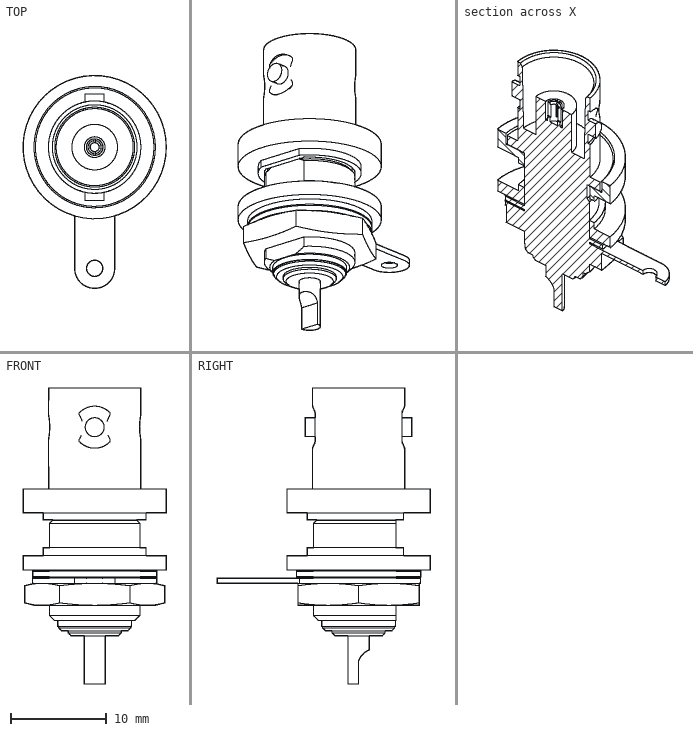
import cadquery as cq
import math


JACK_TOP = 31.0
BARREL_RADIUS = 4.85
BORE_MOUTH_RADIUS = 4.43
BORE_RADIUS = 4.2
BORE_FLOOR_RADIUS = 4.03
BORE_CHAMFER_DEPTH = 0.4
BORE_DEPTH = 8.68

STUD_Z = 26.88
STUD_RADIUS = 1.0
STUD_REACH = 5.58
SPOT_FACE_RADIUS = 2.2
SPOT_FACE_Y = 4.55
GROOVE_HALF_WIDTH = 1.3
GROOVE_RADIUS = 4.7

STUB_RADIUS = 2.4
STUB_TOP = 27.5
SOCKET_CLEARANCE_RADIUS = 1.1
SOCKET_RADIUS = 0.87
SOCKET_BORE_RADIUS = 0.45
SOCKET_CHAMFER = 0.22
SOCKET_DEPTH = 2.48
SOCKET_SLOT_WIDTH = 0.2
SOCKET_SLOT_DEPTH = 1.85

FLANGE_RADIUS = 6.2
FLANGE_TOP = 20.2
SHANK_RADIUS = 4.75
SHANK_FLAT_Y = 3.95
NECK_RADIUS = 4.43
SHANK_TOP = 16.8
SHANK_CHAMFER_TOP = SHANK_TOP + SHANK_RADIUS - NECK_RADIUS
SHANK_CHAMFER_BOTTOM = 7.2
SHANK_BOTTOM = 6.63
SHANK_END_RADIUS = 4.2
COLLAR_RADIUS = 3.88
COLLAR_BOTTOM = 5.58
COLLAR_STEP = 6.05
COLLAR_END_RADIUS = 3.78
COLLAR_CHAMFER = 0.3
TIP_RADIUS = 2.8
TIP_BOTTOM = 5.05
TIP_CHAMFER = 0.3

TAIL_RADIUS = 1.12
TAIL_HALF_TOP = 2.4
TAIL_RUN_OUT_HEIGHT = 1.18
TAIL_RUN_OUT_SAG = 0.2

NUT_BOTTOM = 8.25
NUT_TOP = 10.55
NUT_ACROSS_FLATS = 12.7
NUT_CORNER_RADIUS = NUT_ACROSS_FLATS / 2 / math.cos(math.pi / 6)
NUT_CHAMFER_HEIGHT = 0.25
WASHER_RADIUS = 6.5
LUG_THICKNESS = 0.55
LUG_WIDTH = 4.22
LUG_EYE_Y = -12.68
LUG_EYE_DIAMETER = 1.67
LOCK_WASHER_BOTTOM = 11.22
LOCK_WASHER_TOP = 11.8

BUSHING_RADIUS = 7.5
SHOULDER_RADIUS = 5.4
SHOULDER_FLAT_Y = 4.7
UPPER_RIM_TOP = 20.43
UPPER_RIM_BOTTOM = 17.92
UPPER_SHOULDER_BOTTOM = 17.17
CUP_RADIUS = 6.35
CUP_FLOOR = 18.9
LOWER_RIM_BOTTOM = 11.95
LOWER_RIM_TOP = 13.45
LOWER_SHOULDER_TOP = 14.3


def cylinder(radius, bottom, top):
    """Cylinder about the Z axis between two heights."""
    return cq.Workplane("XY").workplane(offset=bottom).circle(radius).extrude(top - bottom)


def revolved(points):
    """Solid of revolution about Z from an outline of (radius, height) points."""
    return cq.Workplane("XZ").polyline(points).close().revolve(360, (0, 0, 0), (0, 1, 0))


def flatted(solid, flat_y):
    """Cut away everything beyond a flat at Y = flat_y."""
    span = 2 * BUSHING_RADIUS
    cutter = cq.Workplane("XY").box(span, span, 2 * JACK_TOP).translate((0, flat_y + span / 2, 0))
    return solid.cut(cutter)


def make_barrel():
    """Grooved barrel with a chamfered, slightly tapered blind bore."""
    outer = (
        cq.Workplane("XZ")
        .moveTo(0, CUP_FLOOR)
        .lineTo(BARREL_RADIUS, CUP_FLOOR)
        .lineTo(BARREL_RADIUS, STUD_Z - GROOVE_HALF_WIDTH)
        .threePointArc((GROOVE_RADIUS, STUD_Z), (BARREL_RADIUS, STUD_Z + GROOVE_HALF_WIDTH))
        .lineTo(BARREL_RADIUS, JACK_TOP)
        .lineTo(0, JACK_TOP)
        .close()
        .revolve(360, (0, 0, 0), (0, 1, 0))
    )
    bore = revolved([
        (0, JACK_TOP),
        (BORE_MOUTH_RADIUS, JACK_TOP),
        (BORE_RADIUS, JACK_TOP - BORE_CHAMFER_DEPTH),
        (BORE_FLOOR_RADIUS, JACK_TOP - BORE_DEPTH),
        (0, JACK_TOP - BORE_DEPTH),
    ])
    return outer.cut(bore)


def add_bayonet_stud(barrel, side):
    """Spot face and round stud on the +Y (side = 1) or -Y (side = -1) face of the barrel."""
    face = cq.Workplane("XZ", origin=(0, side * SPOT_FACE_Y, STUD_Z))
    spot_face = face.circle(SPOT_FACE_RADIUS).extrude(-side * BARREL_RADIUS)
    stud_root = cq.Workplane("XZ", origin=(0, side * BORE_MOUTH_RADIUS, STUD_Z))
    stud = stud_root.circle(STUD_RADIUS).extrude(-side * (STUD_REACH - BORE_MOUTH_RADIUS))
    return barrel.cut(spot_face).union(stud)


def make_socket_stub():
    """Dielectric stub with a slotted socket contact standing in a clearance hole."""
    stub = cylinder(STUB_RADIUS, JACK_TOP - BORE_DEPTH, STUB_TOP)
    clearance = cylinder(SOCKET_CLEARANCE_RADIUS, STUB_TOP - SOCKET_DEPTH, STUB_TOP)
    socket = cylinder(SOCKET_RADIUS, STUB_TOP - SOCKET_DEPTH, STUB_TOP)
    socket_bore = revolved([
        (0, STUB_TOP),
        (SOCKET_BORE_RADIUS + SOCKET_CHAMFER, STUB_TOP),
        (SOCKET_BORE_RADIUS, STUB_TOP - SOCKET_CHAMFER),
        (SOCKET_BORE_RADIUS, STUB_TOP - SOCKET_DEPTH),
        (0, STUB_TOP - SOCKET_DEPTH),
    ])
    socket = socket.cut(socket_bore)
    for angle in (0, 90):
        slot = cq.Workplane("XY").box(2 * SOCKET_RADIUS, SOCKET_SLOT_WIDTH, SOCKET_SLOT_DEPTH)
        slot = slot.rotate((0, 0, 0), (0, 0, 1), angle)
        socket = socket.cut(slot.translate((0, 0, STUB_TOP - SOCKET_SLOT_DEPTH / 2)))
    return stub.cut(clearance).union(socket)


def make_shank():
    """Neck and threaded shank, both with one flat on the +Y side."""
    shank = revolved([
        (0, CUP_FLOOR),
        (NECK_RADIUS, CUP_FLOOR),
        (NECK_RADIUS, SHANK_CHAMFER_TOP),
        (SHANK_RADIUS, SHANK_TOP),
        (SHANK_RADIUS, SHANK_CHAMFER_BOTTOM),
        (SHANK_END_RADIUS, SHANK_BOTTOM),
        (0, SHANK_BOTTOM),
    ])
    return flatted(shank, SHANK_FLAT_Y)


def make_lower_end():
    """Collar, its chamfered end and a chamfered tip, stepping inward below the shank."""
    collar = cylinder(COLLAR_RADIUS, COLLAR_STEP, SHANK_BOTTOM)
    collar_end = cylinder(COLLAR_END_RADIUS, COLLAR_BOTTOM, COLLAR_STEP).faces("<Z").chamfer(COLLAR_CHAMFER)
    tip = cylinder(TIP_RADIUS, TIP_BOTTOM, COLLAR_BOTTOM).faces("<Z").chamfer(TIP_CHAMFER)
    return collar.union(collar_end).union(tip)


def make_solder_tail():
    """Round tail whose +Y half is cut away, ending in a concave run-out."""
    cutter = (
        cq.Workplane("YZ")
        .lineTo(0, TAIL_HALF_TOP)
        .sagittaArc((TAIL_RADIUS, TAIL_HALF_TOP + TAIL_RUN_OUT_HEIGHT), TAIL_RUN_OUT_SAG)
        .lineTo(TAIL_RADIUS, 0)
        .close()
        .extrude(TAIL_RADIUS, both=True)
    )
    return cylinder(TAIL_RADIUS, 0, TIP_BOTTOM).cut(cutter)


def make_nut():
    """Hex nut with flats facing +Y and -Y, its corners chamfered at both ends."""
    hexagon = (
        cq.Workplane("XY")
        .workplane(offset=NUT_BOTTOM)
        .polygon(6, 2 * NUT_CORNER_RADIUS)
        .extrude(NUT_TOP - NUT_BOTTOM)
    )
    chamfered_blank = revolved([
        (0, NUT_BOTTOM),
        (NUT_ACROSS_FLATS / 2, NUT_BOTTOM),
        (NUT_CORNER_RADIUS, NUT_BOTTOM + NUT_CHAMFER_HEIGHT),
        (NUT_CORNER_RADIUS, NUT_TOP - NUT_CHAMFER_HEIGHT),
        (NUT_ACROSS_FLATS / 2, NUT_TOP),
        (0, NUT_TOP),
    ])
    return hexagon.intersect(chamfered_blank)


def make_solder_lug():
    """Ring with a round-ended tab toward -Y and a wire eye near its end."""
    plane = cq.Workplane("XY").workplane(offset=NUT_TOP)
    ring = plane.circle(WASHER_RADIUS).extrude(LUG_THICKNESS)
    tab = plane.center(0, LUG_EYE_Y / 2).rect(LUG_WIDTH, -LUG_EYE_Y).extrude(LUG_THICKNESS)
    tab_end = plane.center(0, LUG_EYE_Y).circle(LUG_WIDTH / 2).extrude(LUG_THICKNESS)
    eye = plane.center(0, LUG_EYE_Y).circle(LUG_EYE_DIAMETER / 2).extrude(LUG_THICKNESS)
    return ring.union(tab).union(tab_end).cut(eye)


def make_jack():
    """Complete jack with its dielectric, contact, nut, lug and lock washer."""
    barrel = make_barrel()
    for side in (1, -1):
        barrel = add_bayonet_stud(barrel, side)
    flange = cylinder(FLANGE_RADIUS, CUP_FLOOR, FLANGE_TOP)
    lock_washer = cylinder(WASHER_RADIUS, LOCK_WASHER_BOTTOM, LOCK_WASHER_TOP)
    return (
        barrel.union(flange)
        .union(make_socket_stub())
        .union(make_shank())
        .union(make_lower_end())
        .union(make_solder_tail())
        .union(make_nut())
        .union(make_solder_lug())
        .union(lock_washer)
    )


def make_bushing(rim_bottom, rim_top, shoulder_bottom, shoulder_top):
    """Flanged bushing with a flatted shoulder and a flatted through hole for the shank."""
    rim = cylinder(BUSHING_RADIUS, rim_bottom, rim_top)
    shoulder = flatted(cylinder(SHOULDER_RADIUS, shoulder_bottom, shoulder_top), SHOULDER_FLAT_Y)
    hole = flatted(
        cylinder(SHANK_RADIUS, min(rim_bottom, shoulder_bottom), max(rim_top, shoulder_top)),
        SHANK_FLAT_Y,
    )
    return rim.union(shoulder).cut(hole)


def make_upper_bushing():
    """Bushing whose rim is a cup that holds the jack flange with a narrow gap around it."""
    bushing = make_bushing(UPPER_RIM_BOTTOM, UPPER_RIM_TOP, UPPER_SHOULDER_BOTTOM, UPPER_RIM_BOTTOM)
    return bushing.cut(cylinder(CUP_RADIUS, CUP_FLOOR, UPPER_RIM_TOP))


def make_lower_bushing():
    """Plain bushing with its shoulder facing up."""
    return make_bushing(LOWER_RIM_BOTTOM, LOWER_RIM_TOP, LOWER_RIM_TOP, LOWER_SHOULDER_TOP)


jack = make_jack()
upper_bushing = make_upper_bushing()
lower_bushing = make_lower_bushing()

result = cq.Compound.makeCompound([
    *jack.solids().vals(),
    *upper_bushing.solids().vals(),
    *lower_bushing.solids().vals(),
])